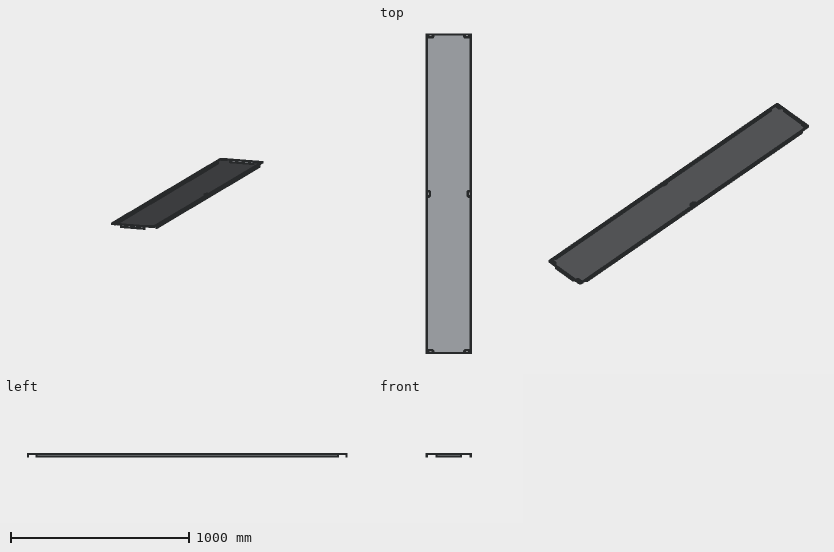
import cadquery as cq

width = 249.0
length = 1790.0
depth = 15.0
sheet = 1.0

side_flange_length = 1693.0
end_flange_length = 140.0

slot_length = 30.0
slot_width = 15.0
corner_slot_from_side = 21.0
corner_slot_from_end = 8.6
middle_slot_from_side = 9.8


def flange(size_x, size_y, x, y):
    """Upright strip reaching from the top face down to the full depth."""
    return (
        cq.Workplane("XY")
        .center(x, y)
        .rect(size_x, size_y)
        .extrude(-depth)
    )


def slots(points, angle):
    """Slot cutters through the sheet, turned by angle from the X axis."""
    return (
        cq.Workplane("XY")
        .pushPoints(points)
        .slot2D(slot_length, slot_width, angle)
        .extrude(-sheet)
    )


panel = cq.Workplane("XY").rect(width, length).extrude(-sheet)

flange_x = (width - sheet) / 2
flange_y = (length - sheet) / 2
for side in (-1, 1):
    panel = panel.union(flange(sheet, side_flange_length, side * flange_x, 0))
    panel = panel.union(flange(end_flange_length, sheet, 0, side * flange_y))

corner_x = width / 2 - corner_slot_from_side
corner_y = length / 2 - corner_slot_from_end
middle_x = width / 2 - middle_slot_from_side
corner_points = [(x, y) for x in (-corner_x, corner_x) for y in (-corner_y, corner_y)]
middle_points = [(-middle_x, 0), (middle_x, 0)]

result = panel.cut(slots(corner_points, 0)).cut(slots(middle_points, 90))